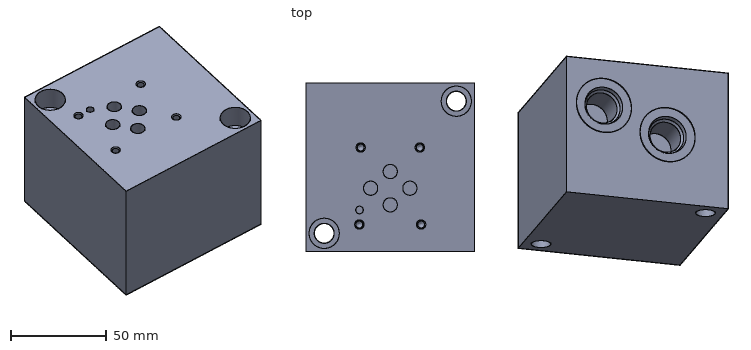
import cadquery as cq
import math

BLOCK_SIDE = 88.9
BLOCK_HEIGHT = 76.2

MOUNT_OFFSET = 34.8
MOUNT_DIAMETER = 10.3
MOUNT_BORE_DIAMETER = 15.9
MOUNT_BORE_DEPTH = 13.3

PATTERN_Y = -11.0
PORT_SPACING_X = 20.6
PORT_SPACING_Y = 17.5
VALVE_PORT_DIAMETER = 7.5
VALVE_PORT_DEPTH = 17.8

LOCATING_PIN_CENTER = (-16.2, -22.5)
LOCATING_PIN_DIAMETER = 4.0
LOCATING_PIN_DEPTH = 4.45

SCREW_BACK_Y = 10.4
SCREW_BACK_SPACING = 31.1
SCREW_FRONT_Y = -30.1
SCREW_FRONT_SPACING = 32.5
SCREW_DIAMETER = 3.65
SCREW_MOUTH_DIAMETER = 4.9
SCREW_DEPTH = 12.45
DRILL_POINT_ANGLE = 118.0

SIDE_PORT_CENTERS = [(23.8, 50.85), (-11.1, 38.1)]
SPOTFACE_DIAMETER = 30.2
SPOTFACE_DEPTH = 0.5
SEAT_MOUTH_DIAMETER = 20.6
SEAT_INNER_DIAMETER = 19.3
SEAT_LENGTH = 2.5
SIDE_BORE_DIAMETER = 16.8
SIDE_BORE_DEPTH = 22.2


def top_hole(center, diameter, depth):
    """Flat-bottomed cutter sunk from the top face."""
    x, y = center
    return cq.Workplane("XY").circle(diameter / 2).extrude(-depth).translate((x, y, BLOCK_HEIGHT))


def mounting_hole(center):
    """Through hole with a counterbore at the top."""
    through = top_hole(center, MOUNT_DIAMETER, BLOCK_HEIGHT)
    return through.union(top_hole(center, MOUNT_BORE_DIAMETER, MOUNT_BORE_DEPTH))


def screw_hole(center):
    """Blind drilled hole with a 45 degree mouth chamfer and a conical bottom."""
    x, y = center
    radius = SCREW_DIAMETER / 2
    mouth_radius = SCREW_MOUTH_DIAMETER / 2
    chamfer = mouth_radius - radius
    point_length = radius / math.tan(math.radians(DRILL_POINT_ANGLE / 2))
    profile = [
        (0, 0),
        (mouth_radius, 0),
        (radius, -chamfer),
        (radius, -SCREW_DEPTH),
        (0, -SCREW_DEPTH - point_length),
    ]
    cutter = cq.Workplane("XZ").polyline(profile).close().revolve(360, (0, 0), (0, 1))
    return cutter.translate((x, y, BLOCK_HEIGHT))


def side_port(center):
    """Spotface, tapered seal seat, 45 degree shoulder and flat-bottomed bore along +X."""
    y, z = center
    seat_end = SPOTFACE_DEPTH + SEAT_LENGTH
    shoulder_end = seat_end + (SEAT_INNER_DIAMETER - SIDE_BORE_DIAMETER) / 2
    profile = [
        (0, 0),
        (0, SPOTFACE_DIAMETER / 2),
        (SPOTFACE_DEPTH, SPOTFACE_DIAMETER / 2),
        (SPOTFACE_DEPTH, SEAT_MOUTH_DIAMETER / 2),
        (seat_end, SEAT_INNER_DIAMETER / 2),
        (shoulder_end, SIDE_BORE_DIAMETER / 2),
        (SIDE_BORE_DEPTH, SIDE_BORE_DIAMETER / 2),
        (SIDE_BORE_DEPTH, 0),
    ]
    cutter = cq.Workplane("XY").polyline(profile).close().revolve(360, (0, 0), (1, 0))
    return cutter.translate((-BLOCK_SIDE / 2, y, z))


result = cq.Workplane("XY").box(BLOCK_SIDE, BLOCK_SIDE, BLOCK_HEIGHT, centered=(True, True, False))

for corner in (-1, 1):
    result = result.cut(mounting_hole((corner * MOUNT_OFFSET, corner * MOUNT_OFFSET)))

for side in (-1, 1):
    port_across = (side * PORT_SPACING_X / 2, PATTERN_Y)
    port_along = (0, PATTERN_Y + side * PORT_SPACING_Y / 2)
    for port_center in (port_across, port_along):
        result = result.cut(top_hole(port_center, VALVE_PORT_DIAMETER, VALVE_PORT_DEPTH))
    result = result.cut(screw_hole((side * SCREW_BACK_SPACING / 2, SCREW_BACK_Y)))
    result = result.cut(screw_hole((side * SCREW_FRONT_SPACING / 2, SCREW_FRONT_Y)))

result = result.cut(top_hole(LOCATING_PIN_CENTER, LOCATING_PIN_DIAMETER, LOCATING_PIN_DEPTH))

for port_center in SIDE_PORT_CENTERS:
    result = result.cut(side_port(port_center))